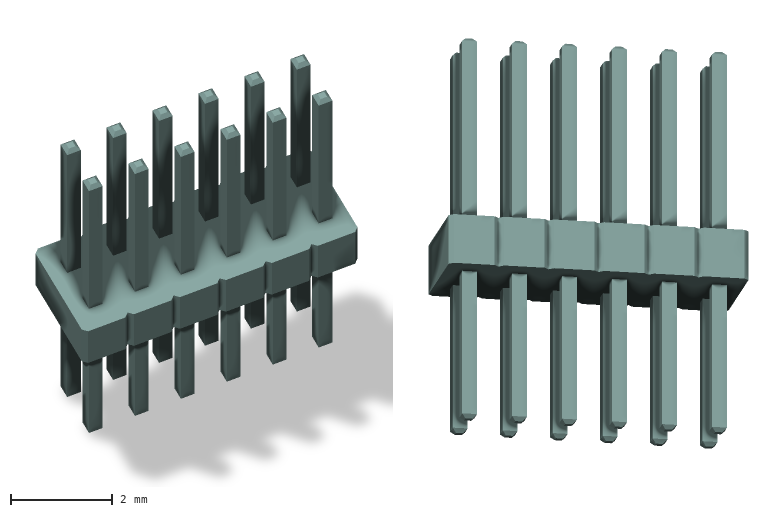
import cadquery as cq

ROWS = 6
COLUMNS = 2
BODY_LENGTH = 6.0
BODY_WIDTH = 2.3
PIN_LENGTH = 7.8
TAIL_LENGTH = 3.0
PIN_SIDE = 0.3
TIP_CHAMFER = 0.08
CORNER_CUT = 0.09

pitch = BODY_LENGTH / ROWS
body_height = pitch


def make_body():
    """Bar of bevelled cells: neighbouring bevels meet as V notches in the long sides."""
    half_length = BODY_LENGTH / 2
    outer_x = BODY_WIDTH / 2
    inner_x = outer_x - CORNER_CUT

    right_side = []
    for row in range(ROWS):
        cell_start = row * pitch - half_length
        cell_end = cell_start + pitch
        right_side += [
            (inner_x, cell_start),
            (outer_x, cell_start + CORNER_CUT),
            (outer_x, cell_end - CORNER_CUT),
        ]
    right_side.append((inner_x, half_length))

    left_side = [(-x, y) for x, y in reversed(right_side)]
    return cq.Workplane("XY").polyline(right_side + left_side).close().extrude(body_height)


def make_pins():
    """Grid of square pins running through the body, chamfered at both tips."""
    pin = (
        cq.Workplane("XY")
        .box(PIN_SIDE, PIN_SIDE, PIN_LENGTH, centered=(True, True, False))
        .faces("<Z or >Z")
        .chamfer(TIP_CHAMFER)
        .translate((0, 0, -TAIL_LENGTH))
        .val()
    )
    return (
        cq.Workplane("XY")
        .rarray(pitch, pitch, COLUMNS, ROWS)
        .eachpoint(lambda place: pin.moved(place))
    )


result = make_body().union(make_pins())